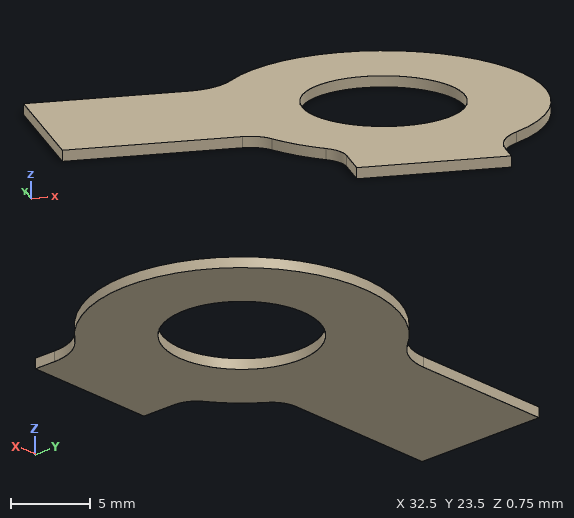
import cadquery as cq

ring_radius = 10.5
hole_diameter = 10.5
thickness = 0.75
tab_width = 10.0
long_tab_reach = 22.0
short_tab_reach = 13.0
outer_fillet = 4.0
inner_fillet = 2.0


def tab(length, width, center_x, center_y):
    """Flat rectangular tab resting on the Z = 0 plane."""
    return (
        cq.Workplane("XY")
        .center(center_x, center_y)
        .rect(length, width)
        .extrude(thickness)
    )


def fillet_corner(body, x, y, radius):
    """Round the upright edge of the body nearest to (x, y)."""
    nearest = cq.selectors.NearestToPointSelector((x, y, thickness / 2))
    return body.edges("|Z").edges(nearest).fillet(radius)


long_tab = tab(long_tab_reach, tab_width, -long_tab_reach / 2, 0)
short_tab = tab(tab_width, short_tab_reach, 0, -short_tab_reach / 2)
washer = cq.Workplane("XY").circle(ring_radius).extrude(thickness)
washer = washer.union(long_tab).union(short_tab)

tab_half = tab_width / 2
root_reach = (ring_radius**2 - tab_half**2) ** 0.5
washer = fillet_corner(washer, -root_reach, tab_half, outer_fillet)
washer = fillet_corner(washer, tab_half, -root_reach, outer_fillet)
washer = fillet_corner(washer, -root_reach, -tab_half, inner_fillet)
washer = fillet_corner(washer, -tab_half, -root_reach, inner_fillet)

result = washer.faces(">Z").workplane(origin=(0, 0, thickness)).hole(hole_diameter)